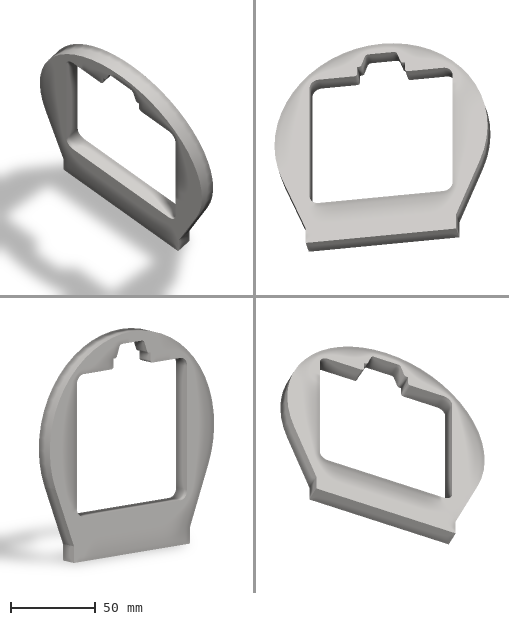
import cadquery as cq
import math

thickness = 10.0
total_height = 133.8
ring_diameter = 128.0
base_width = 90.4
base_height = 10.0

window_size = 85.9
window_bottom = 27.0
window_corner_radius = 5.5

notch_width = 28.8
notch_step_height = 6.3
notch_height = 14.3
notch_top_width = 18.5
notch_flank_angle = 20.0
lip_radius = 1.6
nose_radius = 1.6
notch_top_radius = 2.1

ring_radius = ring_diameter / 2
ring_center_z = total_height - ring_radius
window_top = window_bottom + window_size


def make_plate():
    """Round plate whose tangent flanks run down to a straight foot."""
    corner_x = base_width / 2
    corner_drop = ring_center_z - base_height
    corner_distance = math.hypot(corner_x, corner_drop)
    tangent_angle = math.atan2(corner_drop, corner_x) - math.acos(ring_radius / corner_distance)
    tangent_x = ring_radius * math.cos(tangent_angle)
    tangent_z = ring_center_z - ring_radius * math.sin(tangent_angle)
    return (
        cq.Workplane("XZ")
        .moveTo(-corner_x, 0)
        .lineTo(corner_x, 0)
        .lineTo(corner_x, base_height)
        .lineTo(tangent_x, tangent_z)
        .threePointArc((0, total_height), (-tangent_x, tangent_z))
        .lineTo(-corner_x, base_height)
        .close()
        .extrude(thickness)
    )


def make_window():
    """Square opening with rounded corners."""
    return (
        cq.Workplane("XZ")
        .center(0, window_bottom + window_size / 2)
        .rect(window_size, window_size)
        .extrude(thickness)
        .edges("|Y")
        .fillet(window_corner_radius)
    )


def make_notch():
    """Stepped notch with a tapered upper part, reaching up from the window."""
    half_width = notch_width / 2
    half_top = notch_top_width / 2
    taper_height = notch_height - notch_step_height
    half_step = half_top + taper_height * math.tan(math.radians(notch_flank_angle))
    step_z = window_top + notch_step_height
    top_z = window_top + notch_height
    right_side = [
        (half_width, window_bottom + window_size / 2),
        (half_width, step_z),
        (half_step, step_z),
        (half_top, top_z),
    ]
    left_side = [(-x, z) for x, z in reversed(right_side)]
    return cq.Workplane("XZ").polyline(right_side + left_side).close().extrude(thickness)


def round_edges_at_height(body, z, radius, max_x):
    """Round the crosswise edges at height z that lie within max_x of the middle."""
    margin = 0.1
    picker = cq.selectors.BoxSelector(
        (-max_x, -2 * thickness, z - margin), (max_x, thickness, z + margin)
    )
    return body.edges("|Y").edges(picker).fillet(radius)


result = make_plate().cut(make_window()).cut(make_notch())

nose_limit = notch_width / 2 - nose_radius / 2
result = round_edges_at_height(result, window_top, lip_radius, notch_width)
result = round_edges_at_height(result, window_top + notch_step_height, nose_radius, nose_limit)
result = round_edges_at_height(result, window_top + notch_height, notch_top_radius, notch_width)